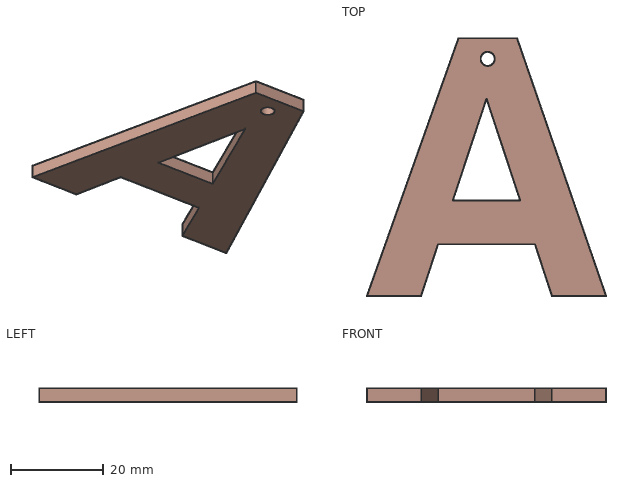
import cadquery as cq

width = 51.98
height = 56.0
thickness = 3.0

top_width = 12.75
top_left_x = -6.1

leg_width = 11.8
notch_height = 11.25
notch_top_width = 21.0

crossbar_thickness = 9.55
counter_width = 14.55
counter_height = 22.0

hole_diameter = 3.0
hole_x = 0.25
hole_top_margin = 4.5

half_width = width / 2
notch_half_width = half_width - leg_width
counter_base_y = notch_height + crossbar_thickness
counter_apex_y = counter_base_y + counter_height
hole_y = height - hole_top_margin


def make_letter_body():
    """Letter outline with the notch between the legs, lying on Z = 0."""
    outline = [
        (-half_width, 0),
        (top_left_x, height),
        (top_left_x + top_width, height),
        (half_width, 0),
        (notch_half_width, 0),
        (notch_top_width / 2, notch_height),
        (-notch_top_width / 2, notch_height),
        (-notch_half_width, 0),
    ]
    return cq.Workplane("XY").polyline(outline).close().extrude(thickness)


def make_counter():
    """Triangular through opening of the letter."""
    triangle = [
        (-counter_width / 2, counter_base_y),
        (counter_width / 2, counter_base_y),
        (0, counter_apex_y),
    ]
    return cq.Workplane("XY").polyline(triangle).close().extrude(thickness)


def make_hanging_hole():
    """Round through hole near the top edge."""
    return cq.Workplane("XY").center(hole_x, hole_y).circle(hole_diameter / 2).extrude(thickness)


result = make_letter_body().cut(make_counter()).cut(make_hanging_hole())